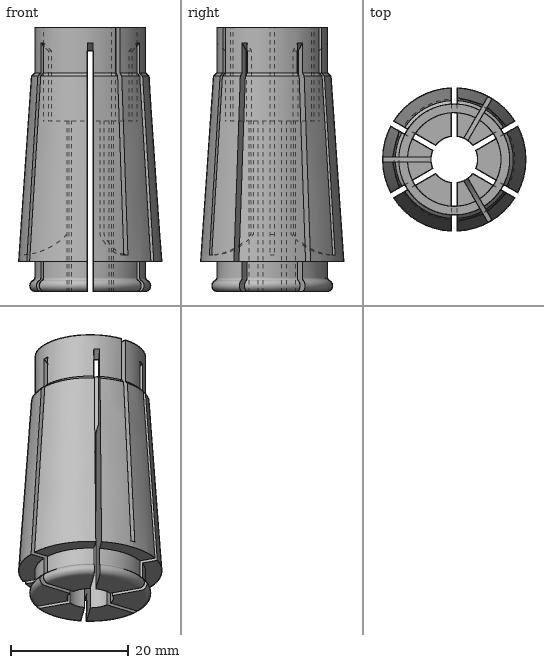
import cadquery as cq
import math

height = 45.1
tube_radius = 9.45
cone_bottom_radius = 24.5 / 2
cone_top_radius = 10.05
bead_radius = 10.35
bead_thickness = 2.0
bead_fillet = 0.5

cone_bottom_z = 5.1
cone_top_z = 36.75

grip_bore_radius = 3.95
upper_bore_radius = 8.0
bore_step_z = 29.15

lower_slot_count = 6
lower_slot_width = 1.0
lower_slot_first_angle = 30.0
lower_slot_inner_top_z = 41.1
lower_slot_outer_top_z = 42.45

upper_slot_count = 3
upper_slot_width = 0.8
upper_slot_first_angle = 60.0
upper_slot_floor_z = 6.22
saw_radius = 11.45

cutter_overrun = 0.9
slot_reach = cone_bottom_radius + cutter_overrun


def make_body():
    """Revolve the outer profile, then cut the stepped bore."""
    bead_round = bead_thickness / 2
    bead_center = bead_radius - bead_round

    fillet_center = tube_radius + bead_fillet
    center_offset = fillet_center - bead_center
    center_rise = math.sqrt((bead_round + bead_fillet) ** 2 - center_offset**2)
    fillet_center_z = bead_round + center_rise
    tangent_share = bead_round / (bead_round + bead_fillet)
    fillet_start = (
        bead_center + tangent_share * center_offset,
        bead_round + tangent_share * center_rise,
    )
    fillet_mid_angle = math.pi + math.atan2(center_rise, center_offset) / 2
    fillet_middle = (
        fillet_center + bead_fillet * math.cos(fillet_mid_angle),
        fillet_center_z + bead_fillet * math.sin(fillet_mid_angle),
    )
    tube_step = cone_top_radius - tube_radius
    profile = (
        cq.Workplane("XZ")
        .lineTo(bead_center, 0)
        .threePointArc((bead_radius, bead_round), fillet_start)
        .threePointArc(fillet_middle, (tube_radius, fillet_center_z))
        .lineTo(tube_radius, cone_bottom_z)
        .lineTo(cone_bottom_radius, cone_bottom_z)
        .lineTo(cone_top_radius, cone_top_z)
        .lineTo(tube_radius, cone_top_z + tube_step)
        .lineTo(tube_radius, height)
        .lineTo(0, height)
        .close()
    )
    body = profile.revolve(360, (0, 0, 0), (0, 1, 0))
    grip_bore = cq.Workplane("XY").circle(grip_bore_radius).extrude(height)
    upper_bore = (
        cq.Workplane("XY", origin=(0, 0, bore_step_z))
        .circle(upper_bore_radius)
        .extrude(height - bore_step_z)
    )
    return body.cut(grip_bore).cut(upper_bore)


def make_lower_slot():
    """Radial cutter along +X, open at the bottom, with a sloping roof."""
    roof_slope = (lower_slot_outer_top_z - lower_slot_inner_top_z) / (tube_radius - upper_bore_radius)
    roof_end_z = lower_slot_inner_top_z + roof_slope * (slot_reach - upper_bore_radius)
    roof_start_z = lower_slot_inner_top_z - roof_slope * upper_bore_radius
    return (
        cq.Workplane("XZ")
        .polyline([(0, 0), (slot_reach, 0), (slot_reach, roof_end_z), (0, roof_start_z)])
        .close()
        .extrude(lower_slot_width / 2, both=True)
    )


def make_upper_slot():
    """Radial cutter along +X, open at the top, with its floor lowest at the cone's rim."""
    saw_center_z = upper_slot_floor_z + saw_radius
    saw_start = cone_bottom_radius - saw_radius
    quarter_middle = saw_radius * math.sqrt(0.5)
    floor_middle = (cone_bottom_radius - quarter_middle, saw_center_z - quarter_middle)
    return (
        cq.Workplane("XZ")
        .moveTo(saw_start, height)
        .lineTo(saw_start, saw_center_z)
        .threePointArc(floor_middle, (cone_bottom_radius, upper_slot_floor_z))
        .lineTo(slot_reach, upper_slot_floor_z)
        .lineTo(slot_reach, height)
        .close()
        .extrude(upper_slot_width / 2, both=True)
    )


def cut_around(body, cutter, count, first_angle):
    """Cut evenly spaced copies of a +X cutter around the Z axis."""
    for index in range(count):
        angle = first_angle + index * 360 / count
        body = body.cut(cutter.rotate((0, 0, 0), (0, 0, 1), angle))
    return body


result = make_body()
result = cut_around(result, make_lower_slot(), lower_slot_count, lower_slot_first_angle)
result = cut_around(result, make_upper_slot(), upper_slot_count, upper_slot_first_angle)